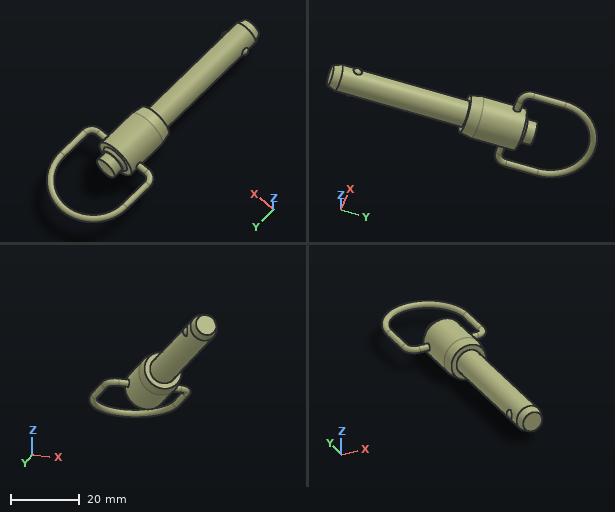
import cadquery as cq
import math


shank_radius = 4.0
shank_length = 41.35
tip_radius = 3.1
tip_length = 2.5

ball_radius = 1.5
ball_reach = 4.8
ball_from_tip = 7.05

body_radius = 6.35
body_length = 16.85
nose_radius = 5.65
nose_length = 3.55

button_radius = 3.55
button_length = 4.2
foot_top_radius = 4.0
foot_base_radius = 4.6
foot_height = 1.15

wire_radius = 1.1
loop_width = 27.0
loop_length = 27.2
loop_top = 39.87
corner_outer_radius = 4.0

button_top = body_length + button_length
foot_top = body_length + foot_height
ball_center_x = ball_reach - ball_radius
ball_center_y = ball_from_tip - shank_length
loop_bend_radius = loop_width / 2 - wire_radius
loop_center_y = loop_top - loop_width / 2
corner_bend_radius = corner_outer_radius - wire_radius
leg_end_x = loop_bend_radius - corner_bend_radius
cross_wire_y = loop_top - loop_length + wire_radius
corner_center_y = cross_wire_y + corner_bend_radius


def make_turned_body():
    """Shank, handle body and button, revolved in one piece about Y."""
    return (
        cq.Workplane("XY")
        .moveTo(0, -shank_length)
        .lineTo(tip_radius, -shank_length)
        .lineTo(shank_radius, tip_length - shank_length)
        .lineTo(shank_radius, 0)
        .lineTo(nose_radius, 0)
        .lineTo(body_radius, nose_length)
        .lineTo(body_radius, body_length)
        .lineTo(foot_base_radius, body_length)
        .lineTo(foot_top_radius, foot_top)
        .lineTo(button_radius, foot_top)
        .lineTo(button_radius, button_top)
        .lineTo(0, button_top)
        .close()
        .revolve(360, (0, 0, 0), (0, 1, 0))
    )


def make_ball(side):
    """Locking ball showing through the shank wall on the +X (1) or -X (-1) side."""
    return cq.Workplane("XY").sphere(ball_radius).translate((side * ball_center_x, ball_center_y, 0))


def make_wire_loop():
    """Round wire bent into a D, whose straight side crosses the handle body."""
    corner_mid = corner_bend_radius * math.sqrt(0.5)
    path = (
        cq.Workplane("XY")
        .moveTo(0, cross_wire_y)
        .lineTo(leg_end_x, cross_wire_y)
        .threePointArc(
            (leg_end_x + corner_mid, corner_center_y - corner_mid),
            (loop_bend_radius, corner_center_y),
        )
        .lineTo(loop_bend_radius, loop_center_y)
        .threePointArc((0, loop_center_y + loop_bend_radius), (-loop_bend_radius, loop_center_y))
        .lineTo(-loop_bend_radius, corner_center_y)
        .threePointArc(
            (-leg_end_x - corner_mid, corner_center_y - corner_mid),
            (-leg_end_x, cross_wire_y),
        )
        .lineTo(0, cross_wire_y)
    )
    return cq.Workplane("YZ").center(cross_wire_y, 0).circle(wire_radius).sweep(path)


result = make_turned_body().union(make_wire_loop())
for side in (-1, 1):
    result = result.union(make_ball(side))